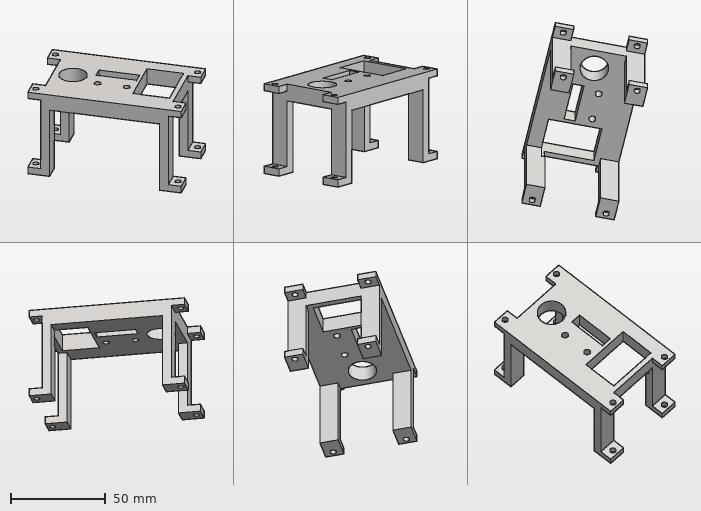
import cadquery as cq

length = 84.0
width = 50.0
height = 48.8

deck_thickness = 9.15
lug_length = 7.05
foot_thickness = 4.0
top_lug_thickness = 3.8
leg_thickness = 4.9
leg_width = 10.0
body_length = length - 2 * lug_length

lug_hole_diameter = 3.2
lug_hole_spacing_x = 77.95
lug_hole_spacing_y = width - leg_width

round_opening_diameter = 15.0
round_opening_x = -23.9
slot_length = 22.2
slot_width = 6.0
slot_x = -1.0
slot_y = 6.0
screw_hole_diameter = 3.5
screw_hole_spacing = 16.0
screw_hole_y = -5.6
window_length = 20.0
window_width = 28.8
window_x = 22.0
window_y = 2.5
window_depth = 17.5


def block(size_x, size_y, size_z, x, y, bottom):
    """Box centred on (x, y) and standing on the given level."""
    return (
        cq.Workplane("XY")
        .box(size_x, size_y, size_z, centered=(True, True, False))
        .translate((x, y, bottom))
    )


deck_bottom = height - deck_thickness
frame = block(body_length, width, deck_thickness, 0, 0, deck_bottom)

leg_x = (body_length - leg_thickness) / 2
lug_x = (length - lug_length) / 2
foot_length = lug_length + leg_thickness
foot_x = (length - foot_length) / 2
corner_y = (width - leg_width) / 2
for side_x in (-1, 1):
    for side_y in (-1, 1):
        y = side_y * corner_y
        leg = block(leg_thickness, leg_width, deck_bottom, side_x * leg_x, y, 0)
        foot = block(foot_length, leg_width, foot_thickness, side_x * foot_x, y, 0)
        lug = block(
            lug_length, leg_width, top_lug_thickness,
            side_x * lug_x, y, height - top_lug_thickness,
        )
        frame = frame.union(leg).union(foot).union(lug)

lug_holes = (
    cq.Workplane("XY")
    .rarray(lug_hole_spacing_x, lug_hole_spacing_y, 2, 2)
    .circle(lug_hole_diameter / 2)
    .extrude(height)
)

deck_plane = cq.Workplane("XY").workplane(offset=deck_bottom)
round_opening = (
    deck_plane.center(round_opening_x, 0)
    .circle(round_opening_diameter / 2)
    .extrude(deck_thickness)
)
screw_holes = (
    deck_plane.center(slot_x, screw_hole_y)
    .rarray(screw_hole_spacing, 0.8, 2, 1)
    .circle(screw_hole_diameter / 2)
    .extrude(deck_thickness)
)
slot = block(slot_length, slot_width, deck_thickness, slot_x, slot_y, deck_bottom)

window = block(
    window_length, window_width, window_depth,
    window_x, window_y, height - window_depth,
)

result = frame
for opening in (lug_holes, round_opening, screw_holes, slot, window):
    result = result.cut(opening)